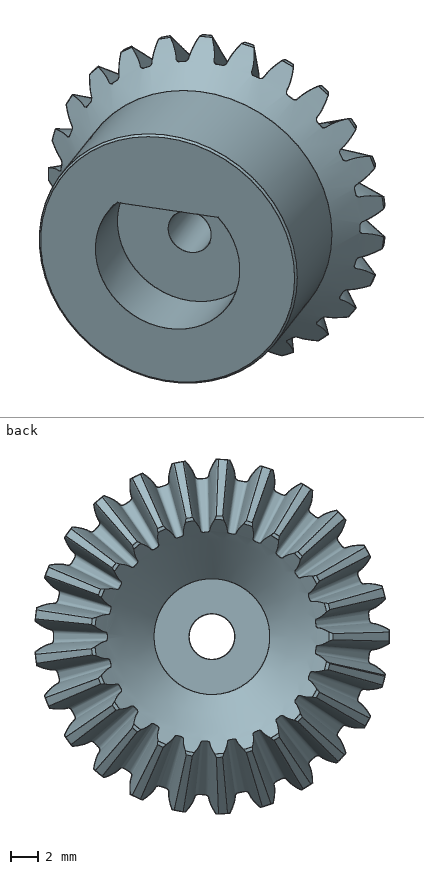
import cadquery as cq
import math


pitch_radius = 12.5
tooth_count = 25
module = 2 * pitch_radius / tooth_count
pressure_angle = math.radians(20)
addendum = module
dedendum = 1.25 * module
face_width = 6 * module
root_fillet = 0.3 * module
tip_chamfer = 0.1 * module
outer_radius = 13.02

hub_radius = 20.0 / 2
hub_length = 8.0
hub_chamfer = 0.15
overall_length = 15.08
bore_diameter = 3.33
pocket_radius = 5.6
pocket_flat_height = 4.0
pocket_depth = 5.0
recess_floor_radius = 8.5 / 2

diagonal = math.sqrt(0.5)
pitch_y = hub_length + pitch_radius - hub_radius
apex_y = pitch_y + pitch_radius

virtual_radius = pitch_radius / diagonal
base_radius = virtual_radius * math.cos(pressure_angle)
gap_overrun = 0.2 * module
flank_steps = 6
outer_scale = 1.1
inner_scale = 0.5


def on_back_cone(height):
    """Radius and y of a back-cone point at a given height above the pitch cone."""
    return pitch_radius + height * diagonal, pitch_y + height * diagonal


def make_blank():
    """Turned gear blank, with the front recess parallel to the back cone."""
    tip_radius, tip_y = on_back_cone(addendum)
    face_slope = tip_radius / (apex_y - tip_y)
    back_edge_y = hub_length + outer_radius - hub_radius
    front_edge_y = apex_y - outer_radius / face_slope
    front_radius = (apex_y - overall_length) * face_slope
    inner_offset = pitch_y - pitch_radius + 2 * face_width * diagonal
    recess_floor_y = recess_floor_radius + inner_offset
    profile = [
        (0, 0),
        (hub_radius - hub_chamfer, 0),
        (hub_radius, hub_chamfer),
        (hub_radius, hub_length),
        (outer_radius, back_edge_y),
        (outer_radius, front_edge_y),
        (front_radius, overall_length),
        (overall_length - inner_offset, overall_length),
        (recess_floor_radius, recess_floor_y),
        (0, recess_floor_y),
    ]
    return cq.Workplane("XY").polyline(profile).close().revolve(360, (0, 0, 0), (0, 1, 0))


def involute(angle):
    """Involute function of a pressure angle."""
    return math.tan(angle) - angle


def gap_half_angle(radius):
    """Half angle of a tooth gap at a radius of the virtual gear; radial below the base circle."""
    local_angle = math.acos(min(1, base_radius / radius))
    return math.pi * module / (4 * virtual_radius) - involute(pressure_angle) + involute(local_angle)


def flank_point(height, scale):
    """Right flank point, as (sideways, height) from the pitch point, scaled about the apex."""
    radius = virtual_radius + height
    half_angle = gap_half_angle(radius)
    sideways = radius * math.sin(half_angle)
    rise = radius * math.cos(half_angle) - virtual_radius
    return sideways * scale, rise * scale


def mirrored(point):
    """The same point on the opposite side of the gap."""
    return -point[0], point[1]


def gap_section(scale):
    """Closed tooth-gap outline, square to the pitch cone at a scaled distance from the apex."""
    fillet_height = root_fillet - dedendum
    flank_top = addendum - tip_chamfer
    step_height = (flank_top - fillet_height) / flank_steps
    heights = [flank_top - step * step_height for step in range(flank_steps + 1)]
    right = [flank_point(height, scale) for height in heights]
    left = [mirrored(point) for point in reversed(right)]
    chamfer_run = (tip_chamfer + gap_overrun) * scale
    gap_corner = (right[0][0] + chamfer_run, right[0][1] + chamfer_run)
    fillet = root_fillet * scale
    floor = -dedendum * scale
    fillet_start = right[-1]
    floor_end = (fillet_start[0] - fillet, floor)
    fillet_middle = (floor_end[0] + fillet * diagonal, floor + fillet * (1 - diagonal))
    origin = (pitch_radius * scale, apex_y - pitch_radius * scale, 0)
    plane = cq.Plane(origin=origin, xDir=(0, 0, -1), normal=(1, -1, 0))
    return (
        cq.Workplane(plane)
        .moveTo(*gap_corner)
        .lineTo(*right[0])
        .spline(right[1:], includeCurrent=True)
        .threePointArc(fillet_middle, floor_end)
        .lineTo(*mirrored(floor_end))
        .threePointArc(mirrored(fillet_middle), left[0])
        .spline(left[1:], includeCurrent=True)
        .lineTo(*mirrored(gap_corner))
        .close()
        .wire()
        .val()
    )


def cut_tooth_gaps(body):
    """Cut one tapered gap per tooth, starting with the gap on the +X axis."""
    sections = [gap_section(scale) for scale in (outer_scale, inner_scale)]
    gap = cq.Solid.makeLoft(sections, True)
    pitch_angle = 360 / tooth_count
    axis_start, axis_end = cq.Vector(0, 0, 0), cq.Vector(0, 1, 0)
    gaps = [gap.rotate(axis_start, axis_end, index * pitch_angle) for index in range(tooth_count)]
    return body.cut(cq.Compound.makeCompound(gaps))


def make_pocket():
    """D-shaped pocket in the hub face, flat side toward +Z."""
    half_flat = math.sqrt(pocket_radius**2 - pocket_flat_height**2)
    return (
        cq.Workplane("XZ")
        .moveTo(-half_flat, pocket_flat_height)
        .threePointArc((0, -pocket_radius), (half_flat, pocket_flat_height))
        .close()
        .extrude(-pocket_depth)
    )


def make_bore():
    """Round hole along the whole axis."""
    return cq.Workplane("XZ").circle(bore_diameter / 2).extrude(-overall_length)


result = cut_tooth_gaps(make_blank()).cut(make_pocket()).cut(make_bore())